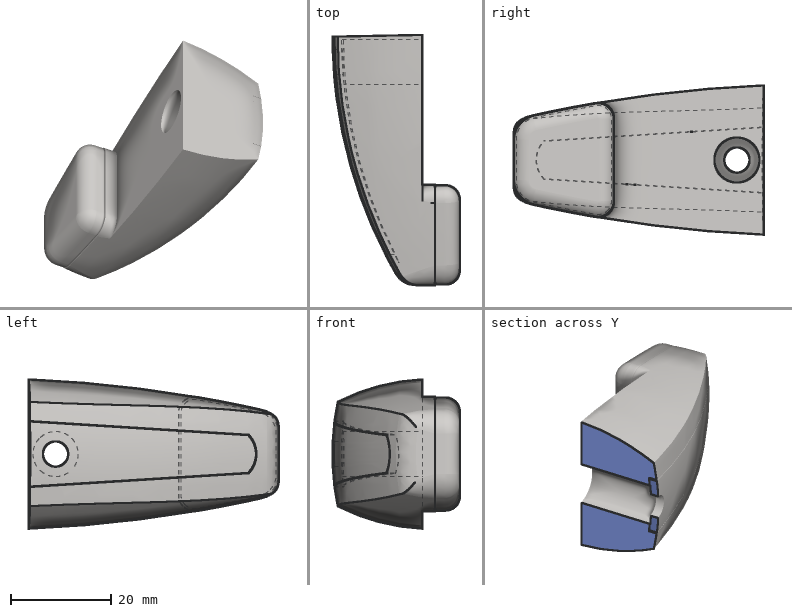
import cadquery as cq
import math

half_length = 25.0
leg_depth = 18.0
foot_depth = 20.5
pad_depth = 25.5
foot_top = -4.9
top_edge_drop = 0.35
stock_reach = 20.0

front_length_radius = 95.8
front_width_radius = 50.0
front_sweep = 90.0

side_length_radius = 262.15
side_depth_radius = 41.5
side_crown_x = 20.0
side_crown_y = 35.9
side_crown_z = 15.2
side_axis_z = side_crown_z - side_length_radius
side_sweep = 32.0
side_stock_depths = (-10.0, 35.0)

toe_radius = 4.65
lower_corner_radius = 5.0
lower_corner_growth = 0.38
lower_corner_depths = (10.0, 13.5, 17.0, foot_depth)
upper_corner_radius = 3.2

pad_inset = 0.1
pad_rim_radius = 0.45
pad_sole_radius = 3.0

inlay_top_half_width = 6.5
inlay_end_half_width = 3.75
inlay_shoulder_y = -18.9
inlay_tip_y = -20.4
inlay_thickness = 1.8
inlay_gap = 0.1

hole_y = 19.6
hole_diameter = 5.0
counterbore_diameter = 9.0


def block(x_range, y_range):
    """Box between two depths and two lengths, wider than the leg in Z."""
    (x0, x1), (y0, y1) = x_range, y_range
    return (
        cq.Workplane("XY", origin=(0, 0, -stock_reach))
        .moveTo(x0, y0)
        .rect(x1 - x0, y1 - y0, centered=False)
        .extrude(2 * stock_reach)
    )


def side_drop(x):
    """Fall of a side face below its crown at depth x."""
    return side_depth_radius - math.sqrt(side_depth_radius**2 - (x - side_crown_x) ** 2)


def crown_half_width(y):
    """Half-width between the crowns of the two side faces at length y."""
    return side_axis_z + math.sqrt(side_length_radius**2 - (y - side_crown_y) ** 2)


def front_stock():
    """Everything behind the doubly curved front face."""
    edge_x = front_width_radius - math.sqrt(front_width_radius**2 - stock_reach**2)
    back_x = 2 * pad_depth
    return (
        cq.Workplane("XZ", origin=(0, half_length, 0))
        .moveTo(edge_x, -stock_reach)
        .threePointArc((0, 0), (edge_x, stock_reach))
        .lineTo(back_x, stock_reach)
        .lineTo(back_x, -stock_reach)
        .close()
        .revolve(front_sweep, (front_length_radius, 0, 0), (front_length_radius, 1, 0))
        .rotate(
            (front_length_radius, half_length, 0),
            (front_length_radius, half_length, 1),
            -front_sweep / 2,
        )
    )


def side_stock():
    """Everything between the two doubly curved side faces."""
    near_x, far_x = side_stock_depths
    upper = (
        cq.Workplane("XZ", origin=(0, side_crown_y, 0))
        .moveTo(near_x, side_crown_z - side_drop(near_x))
        .threePointArc((side_crown_x, side_crown_z), (far_x, side_crown_z - side_drop(far_x)))
        .lineTo(far_x, -stock_reach)
        .lineTo(near_x, -stock_reach)
        .close()
        .revolve(side_sweep, (0, side_axis_z, 0), (1, side_axis_z, 0))
        .rotate((0, side_crown_y, side_axis_z), (1, side_crown_y, side_axis_z), -side_sweep / 2)
    )
    return upper.intersect(upper.mirror("XY"))


def rounded_end_wire(x):
    """Lower end outline at depth x, its corner arcs tangent to the end face and the side faces."""
    radius = lower_corner_radius - lower_corner_growth * (foot_depth - x)
    axis_z = side_axis_z - side_drop(x)
    centre_y = -half_length + radius
    offset_y = centre_y - side_crown_y
    centre_z = axis_z + math.sqrt((side_length_radius - radius) ** 2 - offset_y**2)
    slope = math.asin(-offset_y / (side_length_radius - radius))
    tangent_y = centre_y - radius * math.sin(slope)
    tangent_z = centre_z + radius * math.cos(slope)
    middle_angle = (slope + math.pi / 2) / 2
    middle_y = centre_y - radius * math.sin(middle_angle)
    middle_z = centre_z + radius * math.cos(middle_angle)
    reach_y = 0.0
    reach_z = tangent_z + (reach_y - tangent_y) * math.tan(slope)
    return (
        cq.Workplane("YZ", origin=(x, 0, 0))
        .moveTo(reach_y, reach_z)
        .lineTo(tangent_y, tangent_z)
        .threePointArc((middle_y, middle_z), (-half_length, centre_z))
        .lineTo(-half_length, -centre_z)
        .threePointArc((middle_y, -middle_z), (tangent_y, -tangent_z))
        .lineTo(reach_y, -reach_z)
        .close()
        .val()
    )


def lower_corner_trim():
    """Stock outside the lower corners, whose rounding grows towards the pad."""
    rounded_end = cq.Solid.makeLoft([rounded_end_wire(x) for x in lower_corner_depths])
    end_zone = (-half_length, -half_length + lower_corner_radius)
    return block((lower_corner_depths[0], foot_depth), end_zone).cut(cq.Workplane(rounded_end))


def foot_prism(depth, inset):
    """Prism with the foot's outline moved in by inset, its four corners rounded."""
    upper_y = foot_top - inset
    lower_y = -half_length + inset
    middle_y = (upper_y + lower_y) / 2
    upper_z, middle_z, lower_z = [crown_half_width(y) - inset for y in (upper_y, middle_y, lower_y)]
    return (
        cq.Workplane("YZ")
        .moveTo(upper_y, upper_z)
        .threePointArc((middle_y, middle_z), (lower_y, lower_z))
        .lineTo(lower_y, -lower_z)
        .threePointArc((middle_y, -middle_z), (upper_y, -upper_z))
        .close()
        .extrude(depth)
        .edges("|X and <Y")
        .fillet(lower_corner_radius - inset)
        .edges("|X and >Y")
        .fillet(upper_corner_radius - inset)
    )


def upper_corner_trim():
    """Stock outside the upper corners of the foot, behind the leg."""
    slope = math.asin((side_crown_y - foot_top) / side_length_radius)
    corner_length = upper_corner_radius * (1 + math.sin(slope))
    corner_zone = (foot_top - corner_length, foot_top)
    return block((leg_depth, foot_depth), corner_zone).cut(foot_prism(foot_depth, 0))


def leg_blank():
    """Leg and foot without pad, recess or holes."""
    plan = [
        (0, half_length - top_edge_drop),
        (leg_depth, half_length),
        (leg_depth, foot_top),
        (foot_depth, foot_top),
        (foot_depth, -half_length),
        (0, -half_length),
    ]
    profile = cq.Workplane("XY").polyline(plan).close().extrude(stock_reach, both=True)
    front = (
        front_stock()
        .intersect(block((0, foot_depth), (-half_length, half_length)))
        .faces("<Y")
        .edges("<X")
        .fillet(toe_radius)
    )
    return profile.intersect(side_stock()).intersect(front).cut(lower_corner_trim()).cut(upper_corner_trim())


def pad():
    """Rounded pad on the foot."""
    return (
        foot_prism(pad_depth - foot_depth, pad_inset)
        .faces(">X")
        .edges()
        .fillet(pad_sole_radius)
        .faces("<X")
        .edges()
        .fillet(pad_rim_radius)
        .translate((foot_depth, 0, 0))
    )


def inlay_plate(blank, gap):
    """Layer of the blank under the front face, within the inlay outline widened by gap."""
    top_z = inlay_top_half_width + gap
    end_z = inlay_end_half_width + gap
    outline = (
        cq.Workplane("YZ")
        .moveTo(half_length, top_z)
        .lineTo(inlay_shoulder_y, end_z)
        .threePointArc((inlay_tip_y - gap, 0), (inlay_shoulder_y, -end_z))
        .lineTo(half_length, -top_z)
        .close()
        .extrude(leg_depth)
    )
    core = front_stock().translate((inlay_thickness, 0, 0))
    return blank.intersect(outline).cut(core)


def hole_drill(diameter):
    """Cylinder along X through the leg at the screw position."""
    return cq.Workplane("YZ", origin=(0, hole_y, 0)).circle(diameter / 2).extrude(leg_depth)


def housing_body(blank):
    recess = inlay_plate(blank, inlay_gap)
    return blank.cut(recess).cut(hole_drill(counterbore_diameter)).union(pad())


def inlay_body(blank):
    return inlay_plate(blank, 0).cut(hole_drill(hole_diameter))


leg = leg_blank()
housing = housing_body(leg)
inlay = inlay_body(leg)

result = cq.Compound.makeCompound([housing.solids().val(), inlay.solids().val()])